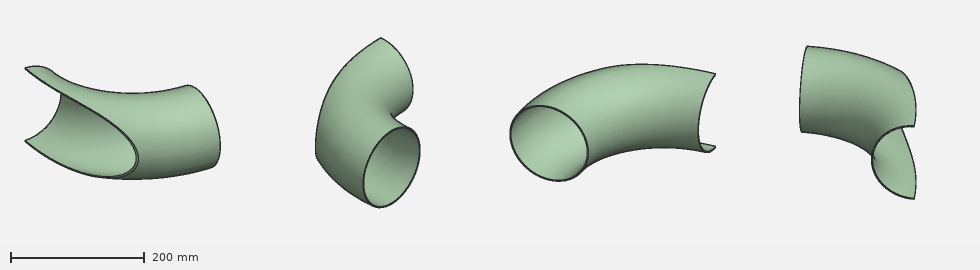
import cadquery as cq

OUTER_DIAMETER = 129.0
WALL = 2.0
BEND_RADIUS = 188.0
BEND_ANGLE = 90.0

OUTER_RADIUS = OUTER_DIAMETER / 2
INNER_RADIUS = OUTER_RADIUS - WALL
OUTER_REACH = BEND_RADIUS + OUTER_RADIUS
CUT_MARGIN = 10.0


def pipe_bend():
    """Quarter bend about the Z axis, from the open end on +X to the end on -Y."""
    return (
        cq.Workplane("XZ")
        .center(BEND_RADIUS, 0)
        .circle(OUTER_RADIUS)
        .circle(INNER_RADIUS)
        .revolve(BEND_ANGLE, (-BEND_RADIUS, 0, 0), (-BEND_RADIUS, -1, 0))
    )


def saddle_height(x):
    """Y of the saddle line at x.

    The bend and a straight pipe of the same diameter, running along X and tangent
    to the bend's centreline at its -Y end, meet on this parabola.
    """
    return x**2 / (4 * BEND_RADIUS) - BEND_RADIUS


def saddle_cutter():
    """Prism along Z that fills everything on the -Y side of the saddle parabola."""
    x_end = OUTER_REACH + CUT_MARGIN
    y_low = -OUTER_REACH - CUT_MARGIN
    start = (0, saddle_height(0))
    control = (x_end / 2, saddle_height(0))
    end = (x_end, saddle_height(x_end))
    return (
        cq.Workplane("XY")
        .moveTo(*start)
        .bezier([start, control, end])
        .lineTo(x_end, y_low)
        .lineTo(-CUT_MARGIN, y_low)
        .lineTo(-CUT_MARGIN, saddle_height(0))
        .close()
        .extrude(OUTER_RADIUS + CUT_MARGIN, both=True)
    )


result = pipe_bend().cut(saddle_cutter())